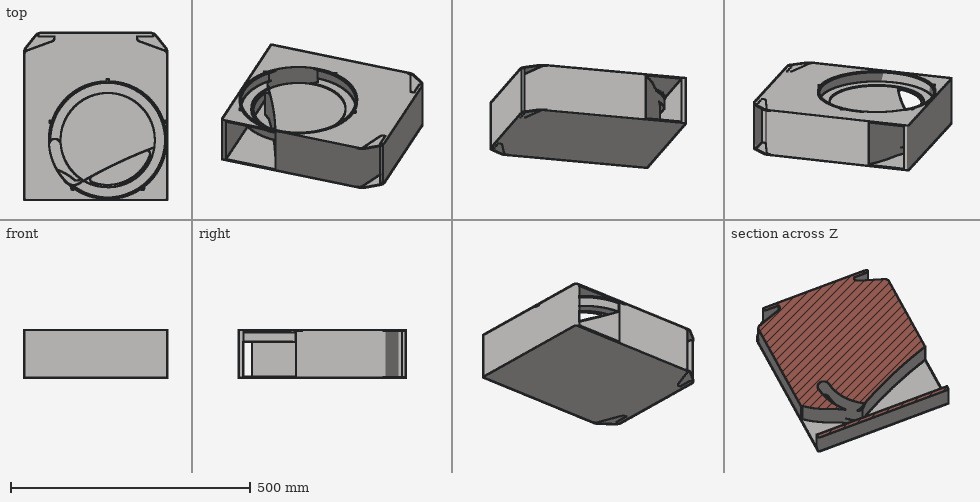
import cadquery as cq
import math

WIDTH = 300.0
DEPTH = 350.0
HEIGHT = 100.0
FRONT_CORNER_RADIUS = 2.8

PLATE_THICKNESS = 1.8
PLATE_CHAMFER_X = 28.7
PLATE_CHAMFER_Y = 36.0
PLATE_CORNER_RADIUS = 15.8
GRIP_START_Y = 303.5
GRIP_ENTRY_RADIUS = 10.0
GRIP_WALL_ANGLE = 70.0
GRIP_WALL_LENGTH = 55.3
COVE_RADIUS = 7.7
COVE_END_ANGLE = 20.0
LIP_TIP_X = 29.5

CENTER_X = 175.0
CENTER_Y = 125.3
RIM_RADIUS = 123.2
RIM_DEPTH = 1.8
RECESS_RADIUS = 120.0
RECESS_DEPTH = 22.0
DISC_RADIUS = 98.7
DISC_STEP = 1.8
TAB_COUNT = 5
TAB_RADIUS = 2.8
TAB_CENTER_RADIUS = 125.0

DUCT_SKIN = 2.8
DUCT_FRONT_Y = 10.0
INLET_REAR_Y = 88.0
INLET_JAMB_LENGTH = 2.8
OUTLET_REAR_Y = 120.0
CUP_RADIUS = 123.5
CUP_FLOOR_THICKNESS = 3.0
COLLAR_RADIUS = 126.0
COLLAR_DEPTH = 5.0
INLET_MIDDLE = (29.0, 68.5)
INLET_BEND = (60.5, 53.0)
TONGUE_START = (88.2, 36.5)
TONGUE_TIP = (93.0, 33.0)
TONGUE_END = (113.8, 28.0)

WELL_RADIUS = 93.8
WELL_START_ANGLE = 241.0
WELL_END_ANGLE = 349.5
WELL_CHORD_BULGE = 2.8
WELL_CORNER_RADIUS = 7.0

SLOT_START_ANGLE = 185.0
BANK_START_ANGLE = 210.0
BANK_HEIGHT = 14.0
BANK_FOOT_RADIUS = 108.5
BANK_FOOT_ANGLE = 230.0
BANK_FOOT_INNER_ANGLE = 234.6
BANK_TOP_ANGLE = 227.0
BANK_TOP_INNER_ANGLE = 238.0
BANK_FOOT_BULGE = 2.0
BANK_FOOT_END_BULGE = 2.8
BANK_TOP_END_BULGE = 6.5

RECESS_FLOOR_Z = HEIGHT - RECESS_DEPTH
CUP_UNDERSIDE_Z = RECESS_FLOOR_Z - CUP_FLOOR_THICKNESS


def polar(radius, angle):
    """Point at a radius and an angle in degrees around the recess centre."""
    turn = math.radians(angle)
    return (CENTER_X + radius * math.cos(turn), CENTER_Y + radius * math.sin(turn))


def bulged_middle(start, end, bulge):
    """Middle point of a shallow arc that rises to the left of the line from start to end."""
    dx = end[0] - start[0]
    dy = end[1] - start[1]
    length = math.hypot(dx, dy)
    middle_x = (start[0] + end[0]) / 2 - bulge * dy / length
    middle_y = (start[1] + end[1]) / 2 + bulge * dx / length
    return (middle_x, middle_y)


def disk(radius, bottom, top):
    """Upright cylinder around the recess centre."""
    return cq.Workplane("XY", origin=(CENTER_X, CENTER_Y, bottom)).circle(radius).extrude(top - bottom)


def make_block():
    outline = [
        (0, 0),
        (WIDTH, 0),
        (WIDTH, DEPTH - PLATE_CHAMFER_Y),
        (WIDTH - PLATE_CHAMFER_X, DEPTH),
        (PLATE_CHAMFER_X, DEPTH),
        (0, DEPTH - PLATE_CHAMFER_Y),
    ]
    block = cq.Workplane("XY").polyline(outline).close().extrude(HEIGHT)
    block = block.edges("|Z and <Y").fillet(FRONT_CORNER_RADIUS)
    rear_corners = cq.selectors.BoxSelector(
        (-3.5, DEPTH - PLATE_CHAMFER_Y - 3.5, -3.5), (WIDTH + 3.5, DEPTH + 3.5, HEIGHT + 3.5)
    )
    return block.edges("|Z").edges(rear_corners).fillet(PLATE_CORNER_RADIUS)


def make_left_grip():
    """Space of the left grip: rounded entry, slanted wall, cove and a round-ended lip at the back."""
    def around(center, radius, angle):
        turn = math.radians(angle)
        return (center[0] + radius * math.cos(turn), center[1] + radius * math.sin(turn))

    normal_angle = 180 - GRIP_WALL_ANGLE
    entry_center = (GRIP_ENTRY_RADIUS, GRIP_START_Y)
    entry_middle = around(entry_center, GRIP_ENTRY_RADIUS, (180 + normal_angle) / 2)
    entry_end = around(entry_center, GRIP_ENTRY_RADIUS, normal_angle)
    wall_end = around(entry_end, GRIP_WALL_LENGTH, normal_angle - 90)
    cove_center = around(wall_end, COVE_RADIUS, normal_angle)
    cove_middle = around(cove_center, COVE_RADIUS, (COVE_END_ANGLE - GRIP_WALL_ANGLE) / 2)
    cove_end = around(cove_center, COVE_RADIUS, COVE_END_ANGLE)
    lip_radius = (DEPTH - cove_end[1]) / 2
    lip_center_x = LIP_TIP_X + lip_radius
    return (
        cq.Workplane("XY", origin=(0, 0, PLATE_THICKNESS))
        .moveTo(0, GRIP_START_Y)
        .threePointArc(entry_middle, entry_end)
        .lineTo(*wall_end)
        .threePointArc(cove_middle, cove_end)
        .lineTo(lip_center_x, cove_end[1])
        .threePointArc((LIP_TIP_X, DEPTH - lip_radius), (lip_center_x, DEPTH))
        .lineTo(0, DEPTH)
        .close()
        .extrude(HEIGHT - 2 * PLATE_THICKNESS)
    )


def make_recess():
    rim_z = HEIGHT - RIM_DEPTH
    recess = disk(RIM_RADIUS, rim_z, HEIGHT)
    recess = recess.union(disk(RECESS_RADIUS, RECESS_FLOOR_Z, HEIGHT))
    recess = recess.union(disk(DISC_RADIUS, RECESS_FLOOR_Z - DISC_STEP, HEIGHT))
    for index in range(TAB_COUNT):
        tab_x, tab_y = polar(TAB_CENTER_RADIUS, 90 + index * 360 / TAB_COUNT)
        tab = cq.Workplane("XY", origin=(tab_x, tab_y, rim_z)).circle(TAB_RADIUS).extrude(RIM_DEPTH)
        recess = recess.union(tab)
    return recess


def well_chord():
    """Start, middle and end of the bowed chord shared by the well and the outlet's rear wall."""
    start = polar(WELL_RADIUS, WELL_START_ANGLE)
    end = polar(WELL_RADIUS, WELL_END_ANGLE)
    return start, bulged_middle(start, end, WELL_CHORD_BULGE), end


def make_duct():
    """Duct space: an S-curved inlet wall on the left, a rounded tongue, then a wide outlet."""
    chord_start, chord_middle, _ = well_chord()
    duct = (
        cq.Workplane("XY", origin=(0, 0, DUCT_SKIN))
        .moveTo(0, INLET_REAR_Y)
        .lineTo(INLET_JAMB_LENGTH, INLET_REAR_Y)
        .threePointArc(INLET_MIDDLE, INLET_BEND)
        .tangentArcPoint(TONGUE_START, relative=False)
        .lineTo(*TONGUE_TIP)
        .tangentArcPoint(TONGUE_END, relative=False)
        .lineTo(*chord_start)
        .threePointArc(chord_middle, (WIDTH, OUTLET_REAR_Y))
        .lineTo(WIDTH, DUCT_FRONT_Y)
        .lineTo(0, DUCT_FRONT_Y)
        .close()
        .extrude(HEIGHT - 2 * DUCT_SKIN)
    )
    duct = duct.cut(disk(CUP_RADIUS, CUP_UNDERSIDE_Z, HEIGHT))
    return duct.cut(disk(COLLAR_RADIUS, HEIGHT - COLLAR_DEPTH, HEIGHT))


def make_well():
    """Round-cornered segment that opens the disc into the duct below."""
    chord_start, chord_middle, chord_end = well_chord()
    lowest = polar(WELL_RADIUS, (WELL_START_ANGLE + WELL_END_ANGLE) / 2)
    return (
        cq.Workplane("XY", origin=(0, 0, CUP_UNDERSIDE_Z))
        .moveTo(*chord_start)
        .threePointArc(lowest, chord_end)
        .threePointArc(chord_middle, chord_start)
        .close()
        .extrude(RECESS_FLOOR_Z - CUP_UNDERSIDE_Z)
        .edges("|Z")
        .fillet(WELL_CORNER_RADIUS)
    )


def slot_outline(plane, bank_middle, bank_end, end_bulge, inner_angle):
    """Outline of the ring slot, from its round start along the rim to the bank and back inside."""
    inner_end = polar(DISC_RADIUS, inner_angle)
    cap_radius = (RIM_RADIUS - DISC_RADIUS) / 2
    cap_x, cap_y = polar(DISC_RADIUS + cap_radius, SLOT_START_ANGLE)
    cap_turn = math.radians(SLOT_START_ANGLE - 90)
    cap_tip = (cap_x + cap_radius * math.cos(cap_turn), cap_y + cap_radius * math.sin(cap_turn))
    return (
        plane.moveTo(*polar(DISC_RADIUS, SLOT_START_ANGLE))
        .threePointArc(cap_tip, polar(RIM_RADIUS, SLOT_START_ANGLE))
        .threePointArc(
            polar(RIM_RADIUS, (SLOT_START_ANGLE + BANK_START_ANGLE) / 2),
            polar(RIM_RADIUS, BANK_START_ANGLE),
        )
        .threePointArc(bank_middle, bank_end)
        .threePointArc(bulged_middle(bank_end, inner_end, -end_bulge), inner_end)
        .threePointArc(
            polar(DISC_RADIUS, (SLOT_START_ANGLE + inner_angle) / 2),
            polar(DISC_RADIUS, SLOT_START_ANGLE),
        )
        .close()
    )


def make_ring_slot():
    bank_start = polar(RIM_RADIUS, BANK_START_ANGLE)
    foot_end = polar(BANK_FOOT_RADIUS, BANK_FOOT_ANGLE)
    foot_middle = bulged_middle(bank_start, foot_end, BANK_FOOT_BULGE)
    top_end = polar(RIM_RADIUS, BANK_TOP_ANGLE)
    top_middle = polar(RIM_RADIUS, (BANK_START_ANGLE + BANK_TOP_ANGLE) / 2)
    bank_top_z = DUCT_SKIN + BANK_HEIGHT
    top_shape = (top_middle, top_end, BANK_TOP_END_BULGE, BANK_TOP_INNER_ANGLE)
    foot = slot_outline(
        cq.Workplane("XY", origin=(0, 0, DUCT_SKIN)),
        foot_middle,
        foot_end,
        BANK_FOOT_END_BULGE,
        BANK_FOOT_INNER_ANGLE,
    )
    bank_top = foot.workplane(offset=BANK_HEIGHT, origin=(0, 0, DUCT_SKIN))
    banked_part = slot_outline(bank_top, *top_shape).loft(ruled=True)
    upright_base = cq.Workplane("XY", origin=(0, 0, bank_top_z))
    upright_part = slot_outline(upright_base, *top_shape).extrude(HEIGHT - bank_top_z)
    return banked_part.union(upright_part)


left_grip = make_left_grip()
right_grip = left_grip.mirror("YZ").translate((WIDTH, 0, 0))

result = make_block()
for space in (left_grip, right_grip, make_duct(), make_recess(), make_well(), make_ring_slot()):
    result = result.cut(space)